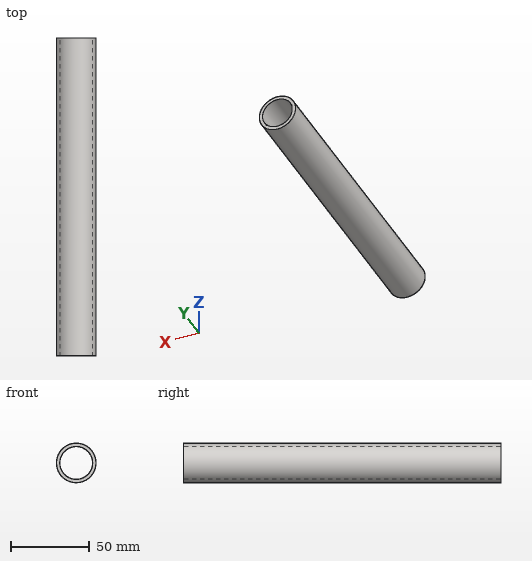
import cadquery as cq

outer_diameter = 25.4
wall_thickness = 2.286
length = 203.2

inner_diameter = outer_diameter - 2 * wall_thickness


def make_tube():
    """Ring section in the XZ plane, extruded from the +Y end to the -Y end."""
    return (
        cq.Workplane("XZ", origin=(0, length / 2, 0))
        .circle(outer_diameter / 2)
        .circle(inner_diameter / 2)
        .extrude(length)
    )


result = make_tube()